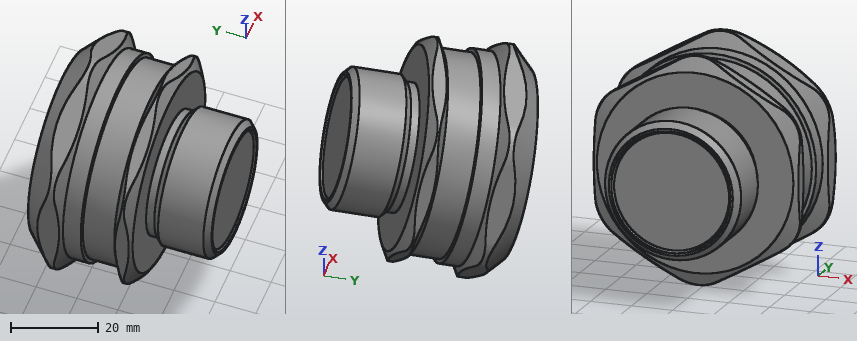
import cadquery as cq
import math


thread_diameter = 33.25
neck_diameter = 30.29
neck_length = 2.0
spigot_length = 16.0
thread_chamfer = (thread_diameter - neck_diameter) / 2

recess_diameter = 29.1
recess_depth = 0.5

lower_hex_width = 50.0
lower_hex_height = 4.5
lower_hex_face_diameter = 48.0

body_diameter = 48.0
body_length = 7.65
collar_diameter = 50.0
collar_length = 4.5
collar_taper_length = 0.15

upper_hex_width = 52.0
upper_hex_height = 9.5
upper_hex_end_diameter = 44.8

hex_corner_radius = 9.2
hex_chamfer_angle = 30.0
cap_chamfer_angle = 45.0

body_start = lower_hex_height
collar_start = body_start + body_length
cap_start = collar_start + collar_length
cap_end = cap_start + upper_hex_height


def revolve_profile(points):
    """Revolve a closed outline of (radius, y) points about the Y axis."""
    return cq.Workplane("XY").polyline(points).close().revolve(360, (0, 0, 0), (0, 1, 0))


def cylinder(diameter, y_start, y_end):
    radius = diameter / 2
    return revolve_profile([(0, y_start), (radius, y_start), (radius, y_end), (0, y_end)])


def chamfered_hexagon(width, y_start, y_end, start_diameter, end_diameter, start_angle, end_angle):
    """Hexagon with corners at +Z and -Z, rounded and turned down conically at both ends."""
    corner_diameter = width / math.cos(math.radians(30))
    prism = (
        cq.Workplane("XZ", origin=(0, y_end, 0))
        .transformed(rotate=(0, 0, 30))
        .polygon(6, corner_diameter)
        .extrude(y_end - y_start)
        .edges("|Y")
        .fillet(hex_corner_radius)
    )
    start_radius = start_diameter / 2
    end_radius = end_diameter / 2
    start_slope = math.tan(math.radians(start_angle))
    end_slope = math.tan(math.radians(end_angle))
    height = y_end - y_start
    rim_radius = (height + start_radius * start_slope + end_radius * end_slope) / (start_slope + end_slope)
    rim_y = y_start + (rim_radius - start_radius) * start_slope
    envelope = revolve_profile(
        [(0, y_start), (start_radius, y_start), (rim_radius, rim_y), (end_radius, y_end), (0, y_end)]
    )
    return prism.intersect(envelope)


def spigot():
    """Relieved neck and thread blank, with a tapered recess in the free end."""
    neck_radius = neck_diameter / 2
    thread_radius = thread_diameter / 2
    recess_radius = recess_diameter / 2
    return revolve_profile(
        [
            (0, 0),
            (neck_radius, 0),
            (neck_radius, -neck_length),
            (thread_radius, -neck_length - thread_chamfer),
            (thread_radius, -spigot_length + thread_chamfer),
            (neck_radius, -spigot_length),
            (recess_radius, -spigot_length),
            (recess_radius - recess_depth, -spigot_length + recess_depth),
            (0, -spigot_length + recess_depth),
        ]
    )


def tapered_collar():
    """Collar whose shoulder falls off as a shallow cone towards the body."""
    body_radius = body_diameter / 2
    collar_radius = collar_diameter / 2
    return revolve_profile(
        [
            (0, collar_start),
            (body_radius, collar_start),
            (collar_radius, collar_start + collar_taper_length),
            (collar_radius, cap_start),
            (0, cap_start),
        ]
    )


lower_hexagon = chamfered_hexagon(
    lower_hex_width,
    0,
    body_start,
    lower_hex_face_diameter,
    lower_hex_face_diameter,
    hex_chamfer_angle,
    hex_chamfer_angle,
)
upper_hexagon = chamfered_hexagon(
    upper_hex_width,
    cap_start,
    cap_end,
    collar_diameter,
    upper_hex_end_diameter,
    hex_chamfer_angle,
    cap_chamfer_angle,
)
body = cylinder(body_diameter, body_start, collar_start)
collar = tapered_collar()

result = spigot().union(lower_hexagon).union(body).union(collar).union(upper_hexagon)